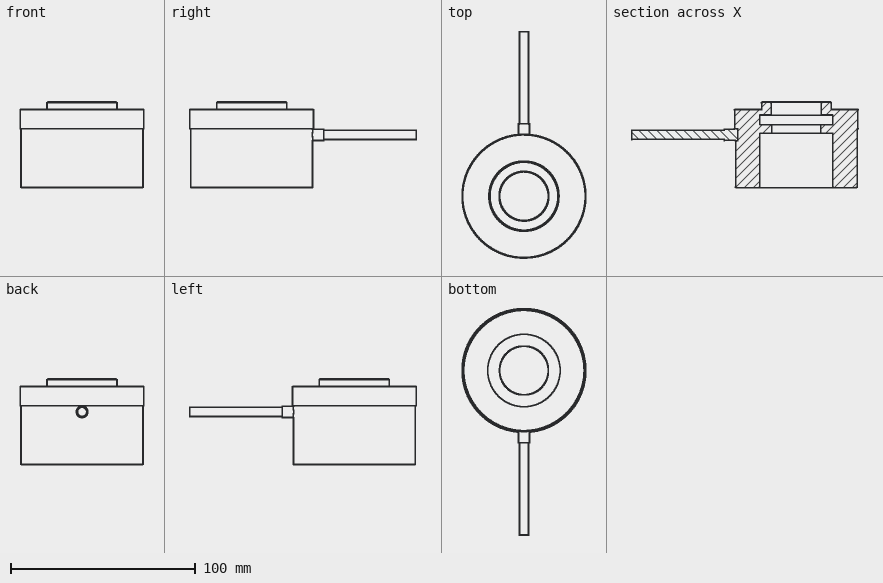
import cadquery as cq

total_height = 46.5
boss_height = 4.0
head_top = total_height - boss_height
head_bottom = 31.8
cavity_floor = 34.2
cavity_roof = 39.3
neck_bottom = 29.5

head_diameter = 67.0
housing_diameter = 66.0
boss_diameter = 38.0
upper_bore_diameter = 27.0
neck_bore_diameter = 26.2
cavity_diameter = 39.2
lower_bore_diameter = 39.2

boss_chamfer = 0.6
head_chamfer = 0.4
base_chamfer = 0.5

overall_length = 122.5
gland_diameter = 6.1
cable_diameter = 5.0
gland_end = 39.1
cable_end = overall_length - head_diameter / 2
gland_clearance = 0.1
cable_height = head_bottom - gland_clearance - gland_diameter / 2
socket_depth = 1.2
gland_start = housing_diameter / 2 - socket_depth


def cylinder(diameter, bottom, top):
    """Vertical cylinder between two heights."""
    return cq.Workplane("XY").workplane(offset=bottom).circle(diameter / 2).extrude(top - bottom)


def rod(diameter, start, end):
    """Cylinder along +Y at the cable height."""
    plane = cq.Plane(origin=(0, start, cable_height), xDir=(1, 0, 0), normal=(0, 1, 0))
    return cq.Workplane(plane).circle(diameter / 2).extrude(end - start)


def make_housing():
    """Round housing with a wider head, a raised loading boss and a stepped through bore."""
    base = cylinder(housing_diameter, 0, head_bottom).faces("<Z").edges().chamfer(base_chamfer)
    head = cylinder(head_diameter, head_bottom, head_top).faces(">Z").edges().chamfer(head_chamfer)
    boss = cylinder(boss_diameter, head_top, total_height).faces(">Z").edges().chamfer(boss_chamfer)
    lower_bore = cylinder(lower_bore_diameter, 0, neck_bottom)
    neck_bore = cylinder(neck_bore_diameter, 0, cavity_floor)
    cavity = cylinder(cavity_diameter, cavity_floor, cavity_roof)
    upper_bore = cylinder(upper_bore_diameter, cavity_floor, total_height)
    socket = rod(gland_diameter, gland_start, gland_end)
    body = base.union(head).union(boss)
    return body.cut(lower_bore).cut(neck_bore).cut(cavity).cut(upper_bore).cut(socket)


def make_cable():
    """Cable with its gland, seated in a blind socket in the housing wall."""
    gland = rod(gland_diameter, gland_start, gland_end)
    return gland.union(rod(cable_diameter, gland_end, cable_end))


housing = make_housing()
cable = make_cable()

result = cq.Compound.makeCompound([housing.val(), cable.val()])